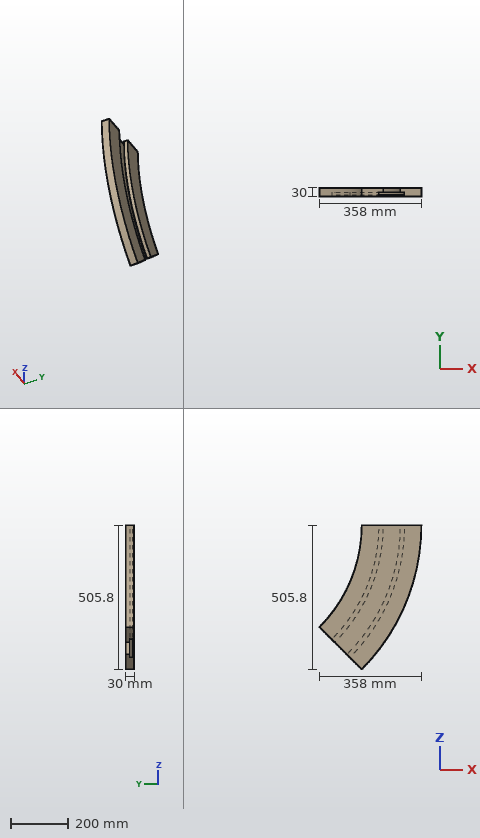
import cadquery as cq
import math

bend_angle = 45.0
outer_radius = 715.24
track_width = 210.0
thickness = 30.0

neck_width = 60.0
neck_depth = 15.0
head_width = 90.0
head_depth = 8.0

mid_radius = outer_radius - track_width / 2


def arc_bar(width, y_min, y_max):
    """Bar of the given width swept along the bend centreline, between two Y levels."""

    def point(radius, angle):
        turn = math.radians(angle)
        return (radius * math.cos(turn), -radius * math.sin(turn))

    inner = mid_radius - width / 2
    outer = mid_radius + width / 2
    return (
        cq.Workplane("XZ", origin=(0, y_max, 0))
        .moveTo(*point(inner, 0))
        .lineTo(*point(outer, 0))
        .threePointArc(point(outer, bend_angle / 2), point(outer, bend_angle))
        .lineTo(*point(inner, bend_angle))
        .threePointArc(point(inner, bend_angle / 2), point(inner, 0))
        .close()
        .extrude(y_max - y_min)
    )


def t_slot():
    """T-shaped groove running the full length of the bend."""
    neck_floor = thickness - neck_depth
    head_floor = neck_floor - head_depth
    neck = arc_bar(neck_width, neck_floor, thickness)
    head = arc_bar(head_width, head_floor, neck_floor)
    return neck.union(head)


result = arc_bar(track_width, 0, thickness).cut(t_slot())